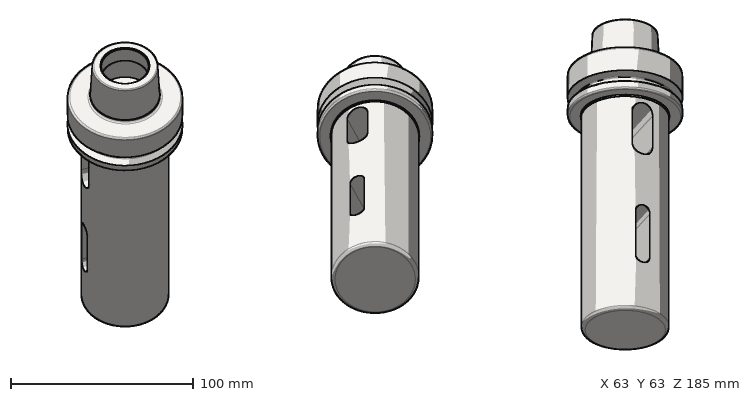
import cadquery as cq
import math

TOTAL_LENGTH = 185.0

BODY_RADIUS = 24.0
BODY_END_FILLET = 2.0
FLARE_WIDTH = 0.4
FLARE_HEIGHT = 1.0

FLANGE_DIAMETER = 63.0
FLANGE_RADIUS = FLANGE_DIAMETER / 2
FLANGE_BOTTOM = 134.0
FLANGE_TOP = 160.2
RIM_FILLET = 1.1
GROOVE_RADIUS = 27.5
GROOVE_CENTER = 141.9
GROOVE_MOUTH = 6.7
GROOVE_FLOOR = 3.0
GROOVE_CORNER_FILLET = 0.5

SHANK_TOP_RADIUS = 18.0
SHANK_FOOT_RADIUS = 19.0
SHANK_END_FILLET = 0.7
COLLAR_RADIUS = 19.2
COLLAR_HEIGHT = 1.7
COLLAR_FILLET = 1.1

LIP_RADIUS = 13.0
LIP_CHAMFER = 0.5
LIP_LENGTH = 9.8
CHAMBER_RADIUS = 14.8
BORE_DEPTH = 25.0
CENTER_HOLE_RADIUS = 5.2
CENTER_HOLE_DEPTH = 5.5
CENTER_HOLE_CHAMFER = 0.7
CENTER_CONE_DEPTH = 1.8
CENTER_FLAT_RADIUS = 2.5

UPPER_SLOT = (12.2, 98.0, 130.0)
LOWER_SLOT = (8.5, 30.2, 66.0)
SLOT_OVERSHOOT = 1.8


def revolve_outline(outline):
    """Revolve a closed (radius, height) outline about the Z axis."""
    return outline.close().revolve(360, (0, 0), (0, 1))


def revolve_points(points):
    return revolve_outline(cq.Workplane("XZ").polyline(points))


def ring_at(height, radius):
    """Selector for the circular edge of the given radius at the given height."""
    margin = 0.1
    return cq.selectors.BoxSelector(
        (-radius - margin, -radius - margin, height - margin),
        (radius + margin, radius + margin, height + margin),
        boundingbox=True,
    )


def make_body():
    body = cq.Workplane("XY").circle(BODY_RADIUS).extrude(FLANGE_BOTTOM)
    body = body.faces("<Z").edges().fillet(BODY_END_FILLET)
    flare_start = FLANGE_BOTTOM - FLARE_HEIGHT
    flare = revolve_points([
        (0, flare_start),
        (BODY_RADIUS, flare_start),
        (BODY_RADIUS + FLARE_WIDTH, FLANGE_BOTTOM),
        (0, FLANGE_BOTTOM),
    ])
    return body.union(flare)


def make_flange():
    floor_bottom = GROOVE_CENTER - GROOVE_FLOOR / 2
    floor_top = GROOVE_CENTER + GROOVE_FLOOR / 2
    flange = revolve_points([
        (0, FLANGE_BOTTOM),
        (FLANGE_RADIUS, FLANGE_BOTTOM),
        (FLANGE_RADIUS, GROOVE_CENTER - GROOVE_MOUTH / 2),
        (GROOVE_RADIUS, floor_bottom),
        (GROOVE_RADIUS, floor_top),
        (FLANGE_RADIUS, GROOVE_CENTER + GROOVE_MOUTH / 2),
        (FLANGE_RADIUS, FLANGE_TOP),
        (0, FLANGE_TOP),
    ])
    flange = flange.faces("<Z or >Z").edges().fillet(RIM_FILLET)
    for height in (floor_bottom, floor_top):
        flange = flange.edges(ring_at(height, GROOVE_RADIUS)).fillet(GROOVE_CORNER_FILLET)
    return flange


def make_shank():
    taper = revolve_points([
        (0, FLANGE_TOP),
        (SHANK_FOOT_RADIUS, FLANGE_TOP),
        (SHANK_FOOT_RADIUS, FLANGE_TOP + COLLAR_HEIGHT),
        (SHANK_TOP_RADIUS, TOTAL_LENGTH),
        (0, TOTAL_LENGTH),
    ])
    taper = taper.faces(">Z").edges().fillet(SHANK_END_FILLET)

    arc_inset = COLLAR_FILLET * (1 - math.sqrt(0.5))
    collar = revolve_outline(
        cq.Workplane("XZ")
        .moveTo(0, FLANGE_TOP)
        .lineTo(COLLAR_RADIUS + COLLAR_FILLET, FLANGE_TOP)
        .threePointArc(
            (COLLAR_RADIUS + arc_inset, FLANGE_TOP + arc_inset),
            (COLLAR_RADIUS, FLANGE_TOP + COLLAR_FILLET),
        )
        .lineTo(COLLAR_RADIUS, FLANGE_TOP + COLLAR_HEIGHT)
        .lineTo(0, FLANGE_TOP + COLLAR_HEIGHT)
    )
    return taper.union(collar)


def make_bore():
    floor = TOTAL_LENGTH - BORE_DEPTH
    lip_end = TOTAL_LENGTH - LIP_LENGTH
    cone_start = floor - CENTER_HOLE_DEPTH
    cone_end = cone_start - CENTER_CONE_DEPTH
    return revolve_points([
        (0, cone_end),
        (CENTER_FLAT_RADIUS, cone_end),
        (CENTER_HOLE_RADIUS, cone_start),
        (CENTER_HOLE_RADIUS, floor - CENTER_HOLE_CHAMFER),
        (CENTER_HOLE_RADIUS + CENTER_HOLE_CHAMFER, floor),
        (CHAMBER_RADIUS, floor),
        (CHAMBER_RADIUS, lip_end),
        (LIP_RADIUS, lip_end),
        (LIP_RADIUS, TOTAL_LENGTH - LIP_CHAMFER),
        (LIP_RADIUS + LIP_CHAMFER, TOTAL_LENGTH),
        (0, TOTAL_LENGTH),
    ])


def make_slot(width, bottom, top):
    """Round-ended slot standing upright and passing right through the body."""
    return (
        cq.Workplane("XZ")
        .center(0, (bottom + top) / 2)
        .slot2D(top - bottom, width, 90)
        .extrude(BODY_RADIUS + SLOT_OVERSHOOT, both=True)
    )


result = make_body().union(make_flange()).union(make_shank()).cut(make_bore())
for slot_size in (UPPER_SLOT, LOWER_SLOT):
    result = result.cut(make_slot(*slot_size))